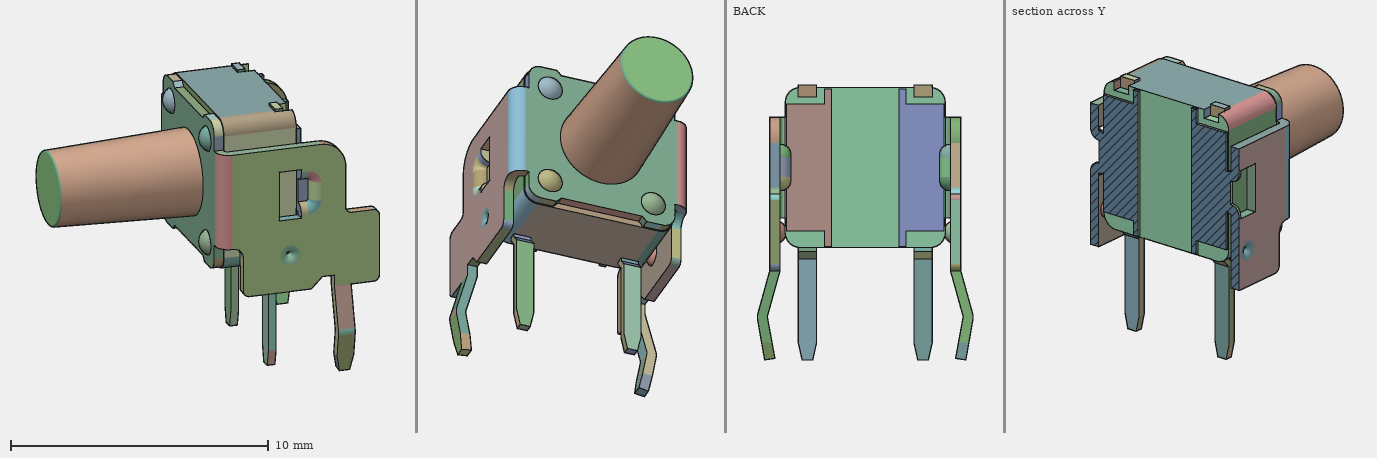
import cadquery as cq


sheet = 0.41
frame_half_width = 3.72
frame_back = 6.57
bend_radius = 0.53
cover_half = 3.06
cover_corner = 0.52
cover_depth = 0.38
edge_notch_half = 1.89
edge_notch_depth = 0.2

flange_half = 1.96
top_back = 5.19
top_back_radius = 1.03
ledge_z = -1.03
plate_bottom = -4.01
plate_front = 0.98
relief_radius = 0.43
plate_corner = 0.25
plate_notch_depth = 0.46
plate_notch_front = 4.22

slot_back = 3.36
slot_length = 0.9
slot_half = 1.01
cup_back = 4.19
cup_half = 0.9
cup_press = 0.42
cup_roll = 0.41
cup_corner = 0.52
cup_round = 0.4
select_margin = 0.04

dimple_y = 2.91
dimple_z = -2.51
dimple_radius = 0.41
dimple_tip_radius = 0.05
dimple_height = 0.25

body_half = 3.11
body_back = slot_back
body_corner = 0.58

strip_depth = 0.2
strip_inner = 1.32
strip_half = 2.47
strip_tab_width = 0.26

pin_x = 2.25
pin_width = 0.72
pin_sheet = 0.32
pin_top = 3.21
pin_bottom = -7.48
pin_back_y = 2.98
pin_joggle = 0.27
joggle_top = -3.26
joggle_bottom = -3.56
tip_width = 0.42
tip_length = 0.67
recess_depth = 0.37

leg_back = 5.41
leg_width = 0.69
leg_knee_x = 4.21
leg_knee_z = -5.79
leg_end_x = 3.91
leg_end_rise = 0.06

plunger_base_radius = 1.75
plunger_tip_radius = 1.51
plunger_length = 5.78
plunger_round = 0.07
rivet_pitch_half = 2.16
rivet_radius = 0.51
rivet_height = 0.3


def block(x0, x1, y0, y1, z0, z1):
    """Box between two opposite corners."""
    return cq.Workplane("XY").box(x1 - x0, y1 - y0, z1 - z0, centered=False).translate((x0, y0, z0))


def domed_cap(base_radius, height):
    """Spherical cap on the XY plane, rising along +Z."""
    sphere_radius = (base_radius**2 + height**2) / (2 * height)
    ball = cq.Workplane("XY").sphere(sphere_radius).translate((0, 0, height - sphere_radius))
    return ball.intersect(block(-base_radius, base_radius, -base_radius, base_radius, 0, height))


def mirrored(shape):
    """The shape together with its mirror image on the other side of X = 0."""
    return shape.union(shape.mirror("YZ"))


def cover():
    plate = block(-cover_half, cover_half, 0, cover_depth, -cover_half, cover_half)
    plate = plate.edges("|Y").fillet(cover_corner)
    floor_half = edge_notch_half - edge_notch_depth
    notch = (
        cq.Workplane("XZ")
        .polyline([
            (-edge_notch_half, cover_half),
            (edge_notch_half, cover_half),
            (floor_half, cover_half - edge_notch_depth),
            (-floor_half, cover_half - edge_notch_depth),
        ])
        .close()
        .extrude(-cover_depth)
    )
    return plate.cut(notch).cut(notch.mirror("XY"))


def bend():
    """Front flange and rounded bend that joins the cover to the left side plate."""
    outer = block(-frame_half_width, 0, 0, plate_front, -flange_half, flange_half)
    outer = outer.edges("|Z and <X and <Y").fillet(bend_radius)
    inner = block(-frame_half_width + sheet, 0, cover_depth, plate_front, -flange_half, flange_half)
    inner = inner.edges("|Z and <X and <Y").fillet(bend_radius - sheet)
    return outer.cut(inner)


def side_plate():
    """Left side plate, flat, with rounded corners."""
    leg_front = leg_back - leg_width
    notch_top = plate_bottom + plate_notch_depth
    outline = (
        cq.Workplane("YZ")
        .moveTo(bend_radius, flange_half)
        .lineTo(top_back, flange_half)
        .lineTo(top_back, ledge_z)
        .lineTo(frame_back, ledge_z)
        .lineTo(frame_back, plate_bottom)
        .lineTo(leg_front, plate_bottom)
        .lineTo(leg_front, notch_top)
        .lineTo(plate_notch_front, notch_top)
        .lineTo(plate_notch_front - plate_notch_depth, plate_bottom)
        .lineTo(plate_front, plate_bottom)
        .lineTo(plate_front, -flange_half - relief_radius)
        .radiusArc((bend_radius, -flange_half), -relief_radius)
        .close()
    )
    plate = outline.extrude(sheet).translate((-frame_half_width, 0, 0))
    for y, z, radius in [
        (top_back, flange_half, top_back_radius),
        (top_back, ledge_z, plate_corner),
        (frame_back, ledge_z, plate_corner),
        (frame_back, plate_bottom, plate_corner),
        (plate_front, plate_bottom, plate_corner),
    ]:
        corner = cq.selectors.NearestToPointSelector((-frame_half_width + sheet / 2, y, z))
        plate = plate.edges("|X").edges(corner).fillet(radius)
    return plate


def add_latch(plate):
    """Cut the slot and press the cup behind it inward, with a rolled edge on the outside."""
    outer_x = -frame_half_width
    slot = block(outer_x, outer_x + sheet, slot_back - slot_length, slot_back, -slot_half, slot_half)
    cup = block(outer_x, outer_x + sheet + cup_press, slot_back, cup_back, -cup_half, cup_half)
    cup = cup.edges("|X and >Y").fillet(cup_corner)
    cup = cup.faces(">X").edges("not <Y").fillet(cup_round)
    hollow_half = cup_half - cup_press
    hollow = block(outer_x, outer_x + cup_press, slot_back, cup_back - cup_press, -hollow_half, hollow_half)
    hollow = hollow.edges("|X and >Y").fillet(cup_corner - cup_press)
    pressed = plate.cut(slot).union(cup).cut(hollow)
    mouth = cq.selectors.BoxSelector(
        (outer_x - select_margin, slot_back + select_margin, -cup_half),
        (outer_x + select_margin, cup_back, cup_half),
    )
    return pressed.edges(mouth).fillet(cup_roll)


def add_dimple(plate):
    """Round bump on the inside, with a rolled-edge pit on the outside."""
    bump = domed_cap(dimple_radius, dimple_height).rotate((0, 0, 0), (0, 1, 0), 90)
    bump = bump.translate((-frame_half_width + sheet, dimple_y, dimple_z))
    roll = dimple_radius - dimple_tip_radius
    pit = (
        cq.Workplane("XY")
        .moveTo(0, 0)
        .lineTo(dimple_radius, 0)
        .radiusArc((dimple_tip_radius, -roll), -roll)
        .lineTo(0, -roll)
        .close()
        .revolve(360, (0, 0, 0), (0, 1, 0))
    )
    pit = pit.rotate((0, 0, 0), (0, 0, 1), 90).translate((-frame_half_width, dimple_y, dimple_z))
    return plate.union(bump).cut(pit)


def pin_outline(plane, width, top):
    """Straight pin with a tapered tip, drawn about the vertical centre line."""
    return (
        cq.Workplane(plane)
        .polyline([
            (-width / 2, top),
            (width / 2, top),
            (width / 2, pin_bottom + tip_length),
            (tip_width / 2, pin_bottom),
            (-tip_width / 2, pin_bottom),
            (-width / 2, pin_bottom + tip_length),
        ])
        .close()
    )


def leg():
    """Left mounting leg: kinked outward, with a tapered end."""
    outer = [
        (-frame_half_width, plate_bottom + plate_notch_depth),
        (-frame_half_width, plate_bottom),
        (-leg_knee_x, leg_knee_z),
        (-leg_end_x, pin_bottom),
    ]
    inner = [(x + sheet, z) for x, z in outer]
    inner[-1] = (inner[-1][0], pin_bottom + leg_end_rise)
    inner_bend = bend_radius - sheet
    middle_y = leg_back - leg_width / 2
    bar = cq.Workplane("XZ").polyline(outer + inner[::-1]).close().extrude(leg_width / 2, both=True)
    for (x, z), radius in [
        (outer[1], inner_bend),
        (inner[1], bend_radius),
        (outer[2], bend_radius),
        (inner[2], inner_bend),
    ]:
        bar = bar.edges("|Y").edges(cq.selectors.NearestToPointSelector((x, 0, z))).fillet(radius)
    front_shape = pin_outline("YZ", leg_width, plate_bottom + plate_notch_depth).extrude(-leg_knee_x)
    return bar.intersect(front_shape).translate((0, middle_y, 0))


def pin():
    """Contact pin with a forward step under the body."""
    pin_front_y = pin_back_y - pin_sheet
    side = (
        cq.Workplane("YZ")
        .polyline([
            (pin_front_y, pin_top),
            (pin_back_y, pin_top),
            (pin_back_y, joggle_top),
            (pin_back_y - pin_joggle, joggle_bottom),
            (pin_back_y - pin_joggle, pin_bottom),
            (pin_front_y - pin_joggle, pin_bottom),
            (pin_front_y - pin_joggle, joggle_bottom),
            (pin_front_y, joggle_top),
        ])
        .close()
        .extrude(pin_width / 2, both=True)
    )
    front_shape = pin_outline("XZ", pin_width, pin_top).extrude(-pin_back_y)
    return side.intersect(front_shape).translate((-pin_x, 0, 0))


def body():
    shell = block(-body_half, body_half, cover_depth, body_back, -body_half, body_half)
    shell = shell.edges("|Y").fillet(body_corner)
    recess = block(
        -pin_x - pin_width / 2, -pin_x + pin_width / 2,
        pin_back_y, body_back,
        body_half - recess_depth, body_half,
    )
    return shell.cut(recess).cut(recess.mirror("YZ"))


def back_strip():
    """Left strip, with a narrow tab at its inner edge reaching up and down."""
    strip_back = body_back + strip_depth
    strip = block(-cover_half, -strip_inner, body_back, strip_back, -strip_half, strip_half)
    tab_outer = strip_inner + strip_tab_width
    tab = block(-tab_outer, -strip_inner, body_back, strip_back, -cover_half, cover_half)
    return strip.union(tab)


def plunger():
    cone = (
        cq.Workplane("XZ", origin=(0, cover_depth, 0))
        .circle(plunger_base_radius)
        .workplane(offset=plunger_length + cover_depth)
        .circle(plunger_tip_radius)
        .loft()
    )
    return cone.faces("<Y").edges().fillet(plunger_round)


def rivets():
    head = domed_cap(rivet_radius, rivet_height).rotate((0, 0, 0), (1, 0, 0), 90)
    heads = cq.Workplane("XY")
    for x in (-rivet_pitch_half, rivet_pitch_half):
        for z in (-rivet_pitch_half, rivet_pitch_half):
            heads = heads.union(head.translate((x, 0, z)))
    return heads


left_side = add_dimple(add_latch(side_plate())).union(bend()).union(leg())
left_parts = left_side.union(back_strip()).union(pin())
result = body().union(cover()).union(mirrored(left_parts)).union(plunger()).union(rivets())